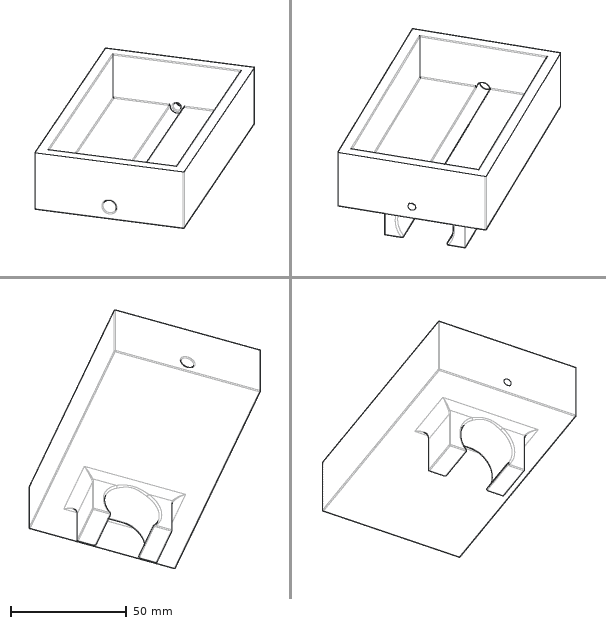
import cadquery as cq
import math

length = 108.6
width = 67.7
total_height = 50.3
tray_height = 27.5
wall = 5.0
edge_round = 0.4

bore_diameter = 6.0
pin_hole_diameter = 3.5
bore_height = 6.0
floor = bore_height + edge_round

clip_height = total_height - tray_height
clip_width = 36.9
clip_depth = 20.0
clip_back_gap = 18.9
clip_y = length / 2 - clip_back_gap - clip_depth / 2
side_flare = 5.0
face_flare = 3.0
pipe_diameter = 25.3
pipe_cover = 1.6
pipe_height = -pipe_cover - pipe_diameter / 2
pipe_edge_round = 0.9
lower_end_round = 0.4
clip_overlap = 2.2

margin = 0.1


def make_tray():
    """Open box with rounded outer edges, a rounded pocket floor and a rounded rim."""
    body = cq.Workplane("XY").box(width, length, tray_height, centered=(True, True, False))
    body = body.edges("|Z or <Z").fillet(edge_round)
    pocket = (
        cq.Workplane("XY", origin=(0, 0, floor))
        .rect(width - 2 * wall, length - 2 * wall)
        .extrude(tray_height - floor)
        .edges("<Z")
        .fillet(edge_round)
    )
    body = body.cut(pocket)
    rim_x = width / 2 - wall + margin
    rim_y = length / 2 - wall + margin
    rim = cq.selectors.BoxSelector(
        (-rim_x, -rim_y, tray_height - margin),
        (rim_x, rim_y, tray_height + margin),
        boundingbox=True,
    )
    return body.edges(rim).fillet(edge_round)


def rod_along_y(diameter, height, y_start, y_end):
    """Cylinder parallel to Y, centred on X = 0."""
    start_plane = cq.Workplane("XZ", origin=(0, y_start, height))
    return start_plane.circle(diameter / 2).extrude(y_start - y_end)


def flared_post(plane, center, half_width, flare, half_extent):
    """Post that widens into the tray underside with a concave arc on two opposite sides."""
    bend = flare * (1 - math.sqrt(0.5))
    return (
        cq.Workplane(plane)
        .center(center, 0)
        .moveTo(-half_width, -clip_height)
        .lineTo(half_width, -clip_height)
        .lineTo(half_width, -flare)
        .threePointArc((half_width + bend, -bend), (half_width + flare, 0))
        .lineTo(half_width + flare, clip_overlap)
        .lineTo(-half_width - flare, clip_overlap)
        .lineTo(-half_width - flare, 0)
        .threePointArc((-half_width - bend, -bend), (-half_width, -flare))
        .close()
        .extrude(half_extent, both=True)
    )


def make_clip():
    """Post flared on all four sides, with rounded vertical edges."""
    flared_in_x = flared_post("XZ", 0, clip_width / 2, side_flare, length)
    flared_in_y = flared_post("YZ", clip_y, clip_depth / 2, face_flare, width)
    return flared_in_x.intersect(flared_in_y).edges("|Z and (not >Z)").fillet(edge_round)


def cut_pipe_seat(body):
    """Cut the pipe seat through the clip and round its curved rims and the clip's lower end."""
    seat = rod_along_y(pipe_diameter, pipe_height, -length / 2, length / 2)
    reach = pipe_diameter / 2 + margin
    around_seat = cq.selectors.BoxSelector(
        (-reach, -length / 2, -clip_height - margin),
        (reach, length / 2, -pipe_cover + margin),
        boundingbox=True,
    )
    rims = around_seat - cq.selectors.StringSyntaxSelector("|Y")
    body = body.cut(seat).edges(rims).fillet(pipe_edge_round)
    return body.faces("<Z").edges().fillet(lower_end_round)


def groove_opening():
    """Slot above the bore axis whose two shoulders curve outward into the tray floor."""
    bore_radius = bore_diameter / 2
    shoulder = edge_round * math.sqrt(0.5)
    outer_x = bore_radius + edge_round
    half_length = length / 2 - wall
    return (
        cq.Workplane("XZ")
        .moveTo(-bore_radius, bore_height)
        .lineTo(bore_radius, bore_height)
        .threePointArc((outer_x - shoulder, bore_height + shoulder), (outer_x, floor))
        .lineTo(outer_x, floor + edge_round)
        .lineTo(-outer_x, floor + edge_round)
        .lineTo(-outer_x, floor)
        .threePointArc((shoulder - outer_x, bore_height + shoulder), (-bore_radius, bore_height))
        .close()
        .extrude(half_length, both=True)
    )


def cut_bore(body):
    """Cut the bore from the front face to the back wall and the pin hole through that wall."""
    back_wall_y = length / 2 - wall
    bore = rod_along_y(bore_diameter, bore_height, -length / 2, back_wall_y)
    pin_hole = rod_along_y(pin_hole_diameter, bore_height, 0, length / 2)
    body = body.cut(bore)
    body = body.faces("<Y").edges("%CIRCLE").fillet(edge_round)
    body = body.cut(groove_opening()).cut(pin_hole)
    reach = pin_hole_diameter / 2 + margin
    pin_mouth = cq.selectors.BoxSelector(
        (-reach, back_wall_y - margin, bore_height - reach),
        (reach, back_wall_y + margin, bore_height + reach),
        boundingbox=True,
    )
    return body.edges(pin_mouth).fillet(edge_round)


tray = make_tray()
result = cut_bore(cut_pipe_seat(tray.union(make_clip())))